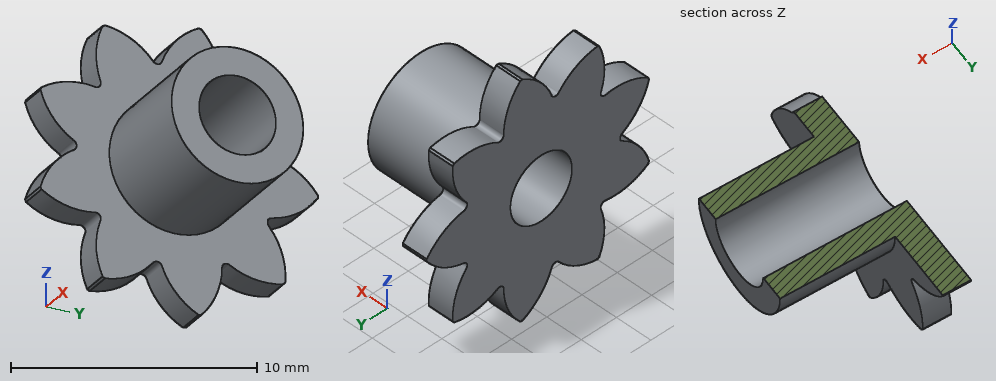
import cadquery as cq
import math

total_length = 7.0
plate_thickness = 1.4
hub_diameter = 6.0
bore_diameter = 3.5

tooth_count = 9
tip_radius = 6.5
root_radius = 4.48
tip_half_width = 0.06
flank_middle_reach = 5.59
flank_middle_half_width = 0.92
flank_base_reach = 4.41
flank_base_half_width = 1.38

tooth_pitch = 2 * math.pi / tooth_count
tip_reach = math.sqrt(tip_radius**2 - tip_half_width**2)


def rotated(reach, offset, angle):
    """Turn a point given along and across a tooth centreline to that tooth's angle."""
    return (
        reach * math.cos(angle) - offset * math.sin(angle),
        reach * math.sin(angle) + offset * math.cos(angle),
    )


def make_toothed_plate():
    """Plate of pointed teeth with convex flanks and rounded roots; the first points to +Y."""
    outline = cq.Workplane("YZ").moveTo(flank_base_reach, -flank_base_half_width)
    for tooth in range(tooth_count):
        angle = tooth * tooth_pitch
        next_angle = angle + tooth_pitch
        outline = outline.threePointArc(
            rotated(flank_middle_reach, -flank_middle_half_width, angle),
            rotated(tip_reach, -tip_half_width, angle),
        )
        outline = outline.threePointArc(
            rotated(tip_radius, 0, angle),
            rotated(tip_reach, tip_half_width, angle),
        )
        outline = outline.threePointArc(
            rotated(flank_middle_reach, flank_middle_half_width, angle),
            rotated(flank_base_reach, flank_base_half_width, angle),
        )
        outline = outline.threePointArc(
            rotated(root_radius, 0, angle + tooth_pitch / 2),
            rotated(flank_base_reach, -flank_base_half_width, next_angle),
        )
    return outline.close().extrude(plate_thickness)


def make_hub():
    """Plain cylinder running from the toothed plate's front face to the far end."""
    return cq.Workplane("YZ").circle(hub_diameter / 2).extrude(total_length)


def make_bore():
    """Round hole through the plate and the hub."""
    return cq.Workplane("YZ").circle(bore_diameter / 2).extrude(total_length)


result = make_toothed_plate().union(make_hub()).cut(make_bore())